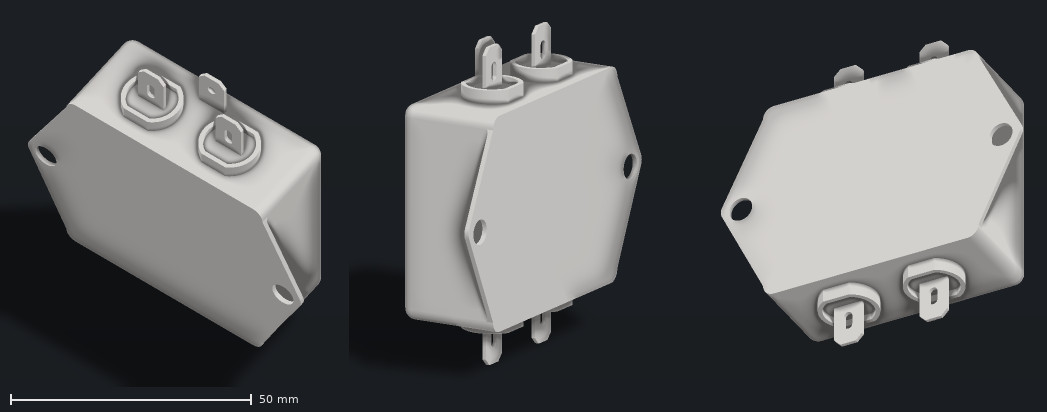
import cadquery as cq
import math

box_width = 50.55
box_height = 46.5
box_depth = 22.3
box_radius = 2.5

flange_span = 70.4
flange_thickness = 1.05
flange_tip_radius = 2.45
flange_tip_height = 0.5
flange_root_fillet = 0.6
mount_hole_spacing = 61.1
mount_hole_diameter = 5.4

terminal_spacing = 20.0
terminal_depth = 9.3
collar_diameter = 13.0
collar_across_flats = 11.5
collar_wall = 1.0
collar_height = 2.95
collar_floor_height = 1.5

tab_width = 6.55
tab_thickness = 0.85
tab_chamfer = 1.5
tab_root = 1.4
tab_hole_height = 28.65
tab_hole_width = 2.0
terminal_tab_top = 34.15
terminal_slot_length = 4.1
earth_tab_top = 32.4
earth_tab_depth = 17.0

half_width = box_width / 2
half_height = box_height / 2


def make_box():
    """Box with rounded depth edges and a rounded far face."""
    box = cq.Workplane("XY").box(box_width, box_depth, box_height, centered=(True, False, True))
    return box.edges("|Y or >Y").fillet(box_radius)


def tip_tangent(side, corner_height):
    """Point where a line from the box corner touches the tip circle on the right-hand side."""
    centre_x = flange_span / 2 - flange_tip_radius
    dx = half_width - centre_x
    dz = corner_height - flange_tip_height
    toward_corner = math.atan2(dz, dx)
    angle = toward_corner - side * math.acos(flange_tip_radius / math.hypot(dx, dz))
    return (
        centre_x + flange_tip_radius * math.cos(angle),
        flange_tip_height + flange_tip_radius * math.sin(angle),
    )


def flange_prism(thickness):
    """Flange outline without mounting holes: straight sides tapering to a rounded tip at each end."""
    corner = half_height - box_radius
    upper_x, upper_z = tip_tangent(1, corner)
    lower_x, lower_z = tip_tangent(-1, -corner)
    tip_x = flange_span / 2
    return (
        cq.Workplane("XZ")
        .moveTo(half_width, corner)
        .lineTo(upper_x, upper_z)
        .threePointArc((tip_x, flange_tip_height), (lower_x, lower_z))
        .lineTo(half_width, -corner)
        .lineTo(-half_width, -corner)
        .lineTo(-lower_x, lower_z)
        .threePointArc((-tip_x, flange_tip_height), (-upper_x, upper_z))
        .lineTo(-half_width, corner)
        .close()
        .extrude(-thickness)
    )


def make_root_fillet(side):
    """Concave fillet between the flange and one side wall, trimmed to the flange outline."""
    wall = side * half_width
    outer = side * (half_width + flange_root_fillet)
    top = flange_thickness + flange_root_fillet
    arc_reach = flange_root_fillet * (1 - math.sqrt(0.5))
    strip = (
        cq.Workplane("XY")
        .moveTo(wall, flange_thickness)
        .lineTo(outer, flange_thickness)
        .threePointArc((wall + side * arc_reach, flange_thickness + arc_reach), (wall, top))
        .close()
        .extrude(half_height, both=True)
    )
    return strip.intersect(flange_prism(top))


def drill_mount_holes(body):
    holes = (
        cq.Workplane("XZ")
        .pushPoints([(-mount_hole_spacing / 2, 0), (mount_hole_spacing / 2, 0)])
        .circle(mount_hole_diameter / 2)
        .extrude(-flange_thickness)
    )
    return body.cut(holes)


def flatted_disc(diameter, across_flats):
    """Disc as tall as a collar, standing on the XY plane, with two flats facing -Y and +Y."""
    disc = cq.Workplane("XY").circle(diameter / 2).extrude(collar_height)
    return disc.intersect(cq.Workplane("XY").box(diameter, across_flats, 2 * collar_height))


def make_tab(top, hole):
    """Upright blade with a chamfered tip; its root is embedded in the box."""
    bottom = half_height - tab_root
    blade = (
        cq.Workplane("XY")
        .box(tab_width, tab_thickness, top - bottom, centered=(True, True, False))
        .translate((0, 0, bottom))
        .edges("|Y and >Z")
        .chamfer(tab_chamfer)
    )
    return blade.cut(hole.translate((0, 0, tab_hole_height)))


def make_terminal():
    """Shallow cup around a slotted tab, on the top wall above the origin of X and Y."""
    outer = flatted_disc(collar_diameter, collar_across_flats)
    inner = flatted_disc(collar_diameter - 2 * collar_wall, collar_across_flats - 2 * collar_wall)
    recess = inner.translate((0, 0, collar_floor_height))
    collar = outer.cut(recess).translate((0, 0, half_height))
    slot = (
        cq.Workplane("XZ")
        .slot2D(terminal_slot_length, tab_hole_width, 90)
        .extrude(tab_thickness, both=True)
    )
    return collar.union(make_tab(terminal_tab_top, slot))


def make_earth_tab():
    hole = cq.Workplane("XZ").circle(tab_hole_width / 2).extrude(tab_thickness, both=True)
    return make_tab(earth_tab_top, hole).translate((0, earth_tab_depth, 0))


result = make_box().union(flange_prism(flange_thickness))
for side in (-1, 1):
    result = result.union(make_root_fillet(side))
result = drill_mount_holes(result)

terminal = make_terminal()
for side in (-1, 1):
    upper_terminal = terminal.translate((side * terminal_spacing / 2, terminal_depth, 0))
    result = result.union(upper_terminal).union(upper_terminal.mirror("XY"))

result = result.union(make_earth_tab())